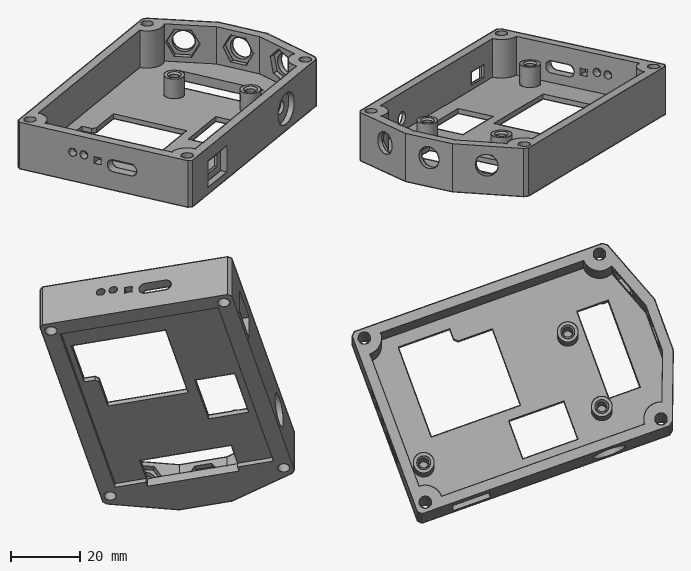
import cadquery as cq
import math

width = 57.1
length = 86.0
height = 15.0
half_width = width / 2
floor_thickness = 3.0
side_wall = 2.9
end_wall = 3.0
front_skew = 0.2
nose_half_width = 7.9
inner_nose_half_width = 7.05
shoulder_y = 78.3
corner_cut = 1.0
shoulder_cut_x = 0.95
shoulder_cut_y = 0.9

boss_diameter = 10.0
screw_diameter = 3.5
screw_centres = [(-25.8, 3.1), (25.6, 3.3), (-25.9, 75.5), (25.8, 75.8)]

standoff_diameter = 6.0
standoff_top = 9.3
standoff_bore = 2.9
mouth_diameter = 4.0
standoff_centres = [(-8.4, 59.4), (15.6, 61.25), (13.6, 7.1)]

back_window = (-14.4, 12.9, 64.4, 74.1)
side_window = (9.2, 21.2, 34.9, 51.9)
front_window = (-22.0, 6.1, 12.2, 39.65)
notch_width = 4.2
notch_length = 11.6
notch_cut = 1.0

recess_depth = 1.5
recess_half_width = 23.6
recess_front = 5.0
recess_back = 72.25

jack_z = 9.0
jack_diameter = 6.7
nut_diameter = 10.0
nut_depth = 1.5
left_jack_x = -17.4
right_jack_x = 16.95
right_nut_roll = 15

led_diameter = 2.5
led_z = 9.2
led_x = [-10.2, -6.5]
button_x = -2.1
button_z = 8.35
button_width = 2.3
button_height = 2.1
slot_x = 5.9
slot_z = 7.8
slot_length = 9.55
slot_height = 3.8

round_y = 58.8
round_z = 7.0
round_diameter = 4.0
round_recess_diameter = 10.0
round_lip = 1.1
switch_y = 16.5
switch_z = 6.45
switch_length = 7.05
switch_height = 4.0
switch_margin = 2.2
switch_lip = 0.9


def box_between(x0, x1, y0, y1, z0, z1):
    """Box given by its limits along each axis."""
    corner = cq.Workplane("XY", origin=(x0, y0, z0))
    return corner.box(x1 - x0, y1 - y0, z1 - z0, centered=False)


def cylinders(centres, diameter, z0, z1):
    """Upright cylinders at the given centres."""
    base = cq.Workplane("XY", origin=(0, 0, z0))
    return base.pushPoints(centres).circle(diameter / 2).extrude(z1 - z0)


slant_angle = math.atan2(length - shoulder_y, half_width - nose_half_width)


def outer_block():
    """Outline with a three-sided back end and cut corners."""
    cut_top_y = shoulder_y + shoulder_cut_x * math.tan(slant_angle)
    points = [
        (-half_width, corner_cut),
        (-half_width + corner_cut, 0),
        (half_width - corner_cut, front_skew),
        (half_width, front_skew + corner_cut),
        (half_width, shoulder_y - shoulder_cut_y),
        (half_width - shoulder_cut_x, cut_top_y),
        (nose_half_width, length),
        (-nose_half_width, length),
        (-half_width + shoulder_cut_x, cut_top_y),
        (-half_width, shoulder_y - shoulder_cut_y),
    ]
    return cq.Workplane("XY").polyline(points).close().extrude(height)


def cavity():
    """Inside space above the floor, parallel to the outer walls."""
    half_inside = half_width - side_wall
    back = length - end_wall
    shoulder = back - (half_inside - inner_nose_half_width) * math.tan(slant_angle)
    points = [
        (-half_inside, end_wall),
        (half_inside, end_wall + front_skew),
        (half_inside, shoulder),
        (inner_nose_half_width, back),
        (-inner_nose_half_width, back),
        (-half_inside, shoulder),
    ]
    inside = cq.Workplane("XY", origin=(0, 0, floor_thickness)).polyline(points).close()
    return inside.extrude(height - floor_thickness)


outer = outer_block()
bosses = cylinders(screw_centres, boss_diameter, 0, height).intersect(outer)
body = outer.cut(cavity()).union(bosses)

standoffs = cylinders(standoff_centres, standoff_diameter, floor_thickness, standoff_top)
body = body.union(standoffs)
body = body.cut(cylinders(standoff_centres, standoff_bore, floor_thickness, standoff_top))
flare = (mouth_diameter - standoff_bore) / 2
mouths = cq.Workplane("XY", origin=(0, 0, standoff_top)).pushPoints(standoff_centres)
body = body.cut(mouths.circle(mouth_diameter / 2).extrude(-flare, taper=45))
body = body.cut(cylinders(screw_centres, screw_diameter, 0, height))


def front_window_cutter():
    """Window with a notch of floor left in its back left corner."""
    x0, x1, y0, y1 = front_window
    step_x = x0 + notch_width
    step_y = y1 - notch_length
    points = [
        (x0, y0), (x1, y0), (x1, y1), (step_x, y1),
        (step_x, step_y + notch_cut), (step_x - notch_cut, step_y), (x0, step_y),
    ]
    return cq.Workplane("XY").polyline(points).close().extrude(floor_thickness)


body = body.cut(front_window_cutter())
for window in (back_window, side_window):
    body = body.cut(box_between(*window, 0, floor_thickness))
recess_sides = (-recess_half_width, recess_half_width)
body = body.cut(box_between(*recess_sides, recess_front, recess_back, 0, recess_depth))


def jack_cutter(x, y, turn, nut_roll=0):
    """Through hole and hexagonal nut pocket; (x, y) is on the outer face, turn (radians) is about Z."""
    hole = cq.Workplane("XZ").circle(jack_diameter / 2).extrude(end_wall)
    nut_face = cq.Workplane("XZ", origin=(0, nut_depth - end_wall, 0))
    nut = nut_face.polygon(6, nut_diameter).extrude(2 * nut_depth)
    nut = nut.rotate((0, 0, 0), (0, 1, 0), nut_roll)
    return hole.union(nut).rotate((0, 0, 0), (0, 0, 1), math.degrees(turn)).translate((x, y, jack_z))


def slanted_wall_y(x):
    """Y of the outer face of the slanted back wall at x."""
    return length - (abs(x) - nose_half_width) * math.tan(slant_angle)


body = body.cut(jack_cutter(0, length, 0))
body = body.cut(jack_cutter(left_jack_x, slanted_wall_y(left_jack_x), slant_angle))
body = body.cut(jack_cutter(right_jack_x, slanted_wall_y(right_jack_x), -slant_angle, right_nut_roll))

front_depth = end_wall + front_skew
front_plane = cq.Workplane("XZ", origin=(0, front_depth, 0))
leds = front_plane.pushPoints([(x, led_z) for x in led_x]).circle(led_diameter / 2).extrude(front_depth)
button = front_plane.center(button_x, button_z).rect(button_width, button_height).extrude(front_depth)
slot = front_plane.center(slot_x, slot_z).slot2D(slot_length, slot_height).extrude(front_depth)
body = body.cut(leds).cut(button).cut(slot)

inner_face = cq.Workplane("YZ", origin=(half_width - side_wall, 0, 0))
round_hole = inner_face.center(round_y, round_z).circle(round_diameter / 2).extrude(side_wall)
round_face = cq.Workplane("YZ", origin=(half_width - side_wall + round_lip, 0, 0))
round_recess = round_face.center(round_y, round_z).circle(round_recess_diameter / 2).extrude(side_wall)
switch_hole = inner_face.center(switch_y, switch_z).rect(switch_length, switch_height).extrude(side_wall)
switch_face = cq.Workplane("YZ", origin=(half_width - side_wall + switch_lip, 0, 0))
recess_length = switch_length + 2 * switch_margin
recess_height = switch_height + 2 * switch_margin
switch_recess = switch_face.center(switch_y, switch_z).rect(recess_length, recess_height).extrude(side_wall)
body = body.cut(round_hole).cut(round_recess).cut(switch_hole).cut(switch_recess)

result = body